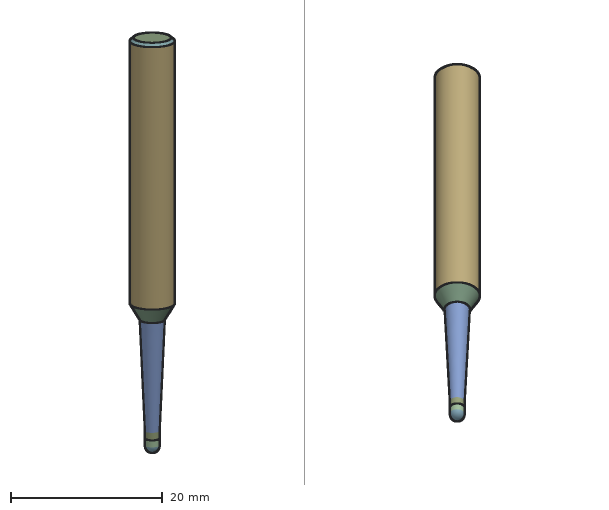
import cadquery as cq
import math

total_length = 57
shank_diameter = 6.0
shank_radius = shank_diameter / 2
chamfer_width = 0.5
chamfer_height = 0.45

tip_diameter = 2.0
tip_radius = tip_diameter / 2
cutter_top = 2 * tip_radius
taper_start = 3 * tip_radius
taper_end = 18.3
taper_end_diameter = 3.35
taper_end_radius = taper_end_diameter / 2
shank_start = 20.5


def make_cutting_tip():
    """Short cylinder with a hemispherical lower end."""
    arc_offset = tip_radius * math.sqrt(0.5)
    profile = (
        cq.Workplane("XZ")
        .moveTo(0, 0)
        .threePointArc((arc_offset, tip_radius - arc_offset), (tip_radius, tip_radius))
        .lineTo(tip_radius, cutter_top)
        .lineTo(0, cutter_top)
        .close()
    )
    return profile.revolve(360, (0, 0), (0, 1))


def make_holder():
    """Straight neck, tapered neck, conical shoulder and chamfered shank."""
    profile = (
        cq.Workplane("XZ")
        .moveTo(0, cutter_top)
        .lineTo(tip_radius, cutter_top)
        .lineTo(tip_radius, taper_start)
        .lineTo(taper_end_radius, taper_end)
        .lineTo(shank_radius, shank_start)
        .lineTo(shank_radius, total_length - chamfer_height)
        .lineTo(shank_radius - chamfer_width, total_length)
        .lineTo(0, total_length)
        .close()
    )
    return profile.revolve(360, (0, 0), (0, 1))


cutting_tip = make_cutting_tip()
holder = make_holder()

result = cq.Compound.makeCompound([cutting_tip.val(), holder.val()])